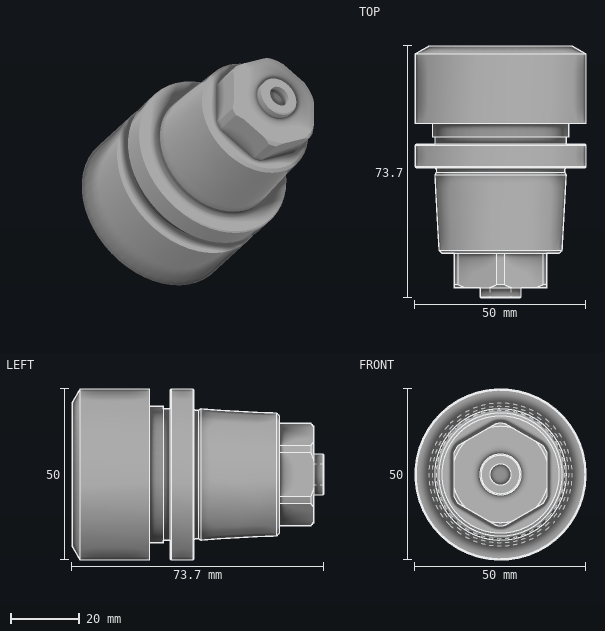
import cadquery as cq
import math

total_length = 73.65
pin_end = 3.0
nut_length = 10.0
nut_end = pin_end + nut_length
taper_end = 36.0
groove_front = 36.75
groove_back = 37.4
flange_front = 38.0
flange_back = 45.0
neck_end = 47.0
collar_end = 51.0

body_diameter = 50.0
body_radius = body_diameter / 2
neck_radius = 19.2
collar_radius = 19.95
taper_large_radius = 19.2
pin_diameter = 12.0
hole_diameter = 6.2
hole_depth = pin_end

body_chamfer_length = 2.35
body_chamfer_angle = 60.0
flange_chamfer = 0.4
taper_slope = 0.055
nose_chamfer = 0.9
groove_radius = 18.8
relief_outer_radius = 20.4
relief_inner_radius = 19.7
relief_depth = 0.15
pin_chamfer = 0.4

nut_across_flats = 27.0
nut_corner_diameter = 30.0
nut_chamfer = 0.9


def disc(radius, start, end):
    """Cylinder on the Y axis from y = start to y = end."""
    plane = cq.Plane(origin=(0, start, 0), xDir=(1, 0, 0), normal=(0, 1, 0))
    return cq.Workplane(plane).circle(radius).extrude(end - start)


def make_turned_body():
    """Tapered shank, undercut, flange, collars and large rear body."""
    nose_end = nut_end + nose_chamfer
    nose_radius = taper_large_radius - taper_slope * (taper_end - nose_end)
    rear_chamfer_height = body_chamfer_length * math.tan(math.radians(body_chamfer_angle))
    relief_floor = flange_front + relief_depth
    arc_share = 1 - math.sqrt(0.5)
    arc_middle = (
        groove_radius + arc_share * (relief_inner_radius - groove_radius),
        relief_floor - arc_share * (relief_floor - groove_back),
    )
    profile = (
        cq.Workplane("XY")
        .moveTo(0, nut_end)
        .lineTo(nose_radius - nose_chamfer, nut_end)
        .lineTo(nose_radius, nose_end)
        .lineTo(taper_large_radius, taper_end)
        .lineTo(groove_radius, groove_front)
        .lineTo(groove_radius, groove_back)
        .threePointArc(arc_middle, (relief_inner_radius, relief_floor))
        .lineTo(relief_outer_radius, flange_front)
        .lineTo(body_radius - flange_chamfer, flange_front)
        .lineTo(body_radius, flange_front + flange_chamfer)
        .lineTo(body_radius, flange_back - flange_chamfer)
        .lineTo(body_radius - flange_chamfer, flange_back)
        .lineTo(neck_radius, flange_back)
        .lineTo(neck_radius, neck_end)
        .lineTo(collar_radius, neck_end)
        .lineTo(collar_radius, collar_end)
        .lineTo(body_radius, collar_end)
        .lineTo(body_radius, total_length - body_chamfer_length)
        .lineTo(body_radius - rear_chamfer_height, total_length)
        .lineTo(0, total_length)
        .close()
    )
    return profile.revolve(360, (0, 0, 0), (0, 1, 0))


def make_nut():
    """Hexagon with corners up and down, turned to a round with a chamfered front."""
    across_corners = nut_across_flats / math.cos(math.radians(30))
    plane = cq.Plane(origin=(0, pin_end, 0), xDir=(0, 0, 1), normal=(0, 1, 0))
    hexagon = cq.Workplane(plane).polygon(6, across_corners).extrude(nut_length)
    blank = disc(nut_corner_diameter / 2, pin_end, nut_end).faces("<Y").chamfer(nut_chamfer)
    return hexagon.intersect(blank)


def make_pin():
    """Short round pin standing out of the nut, with a chamfered tip."""
    return disc(pin_diameter / 2, 0, pin_end).faces("<Y").chamfer(pin_chamfer)


blind_hole = disc(hole_diameter / 2, 0, hole_depth)
result = make_turned_body().union(make_nut()).union(make_pin()).cut(blind_hole)